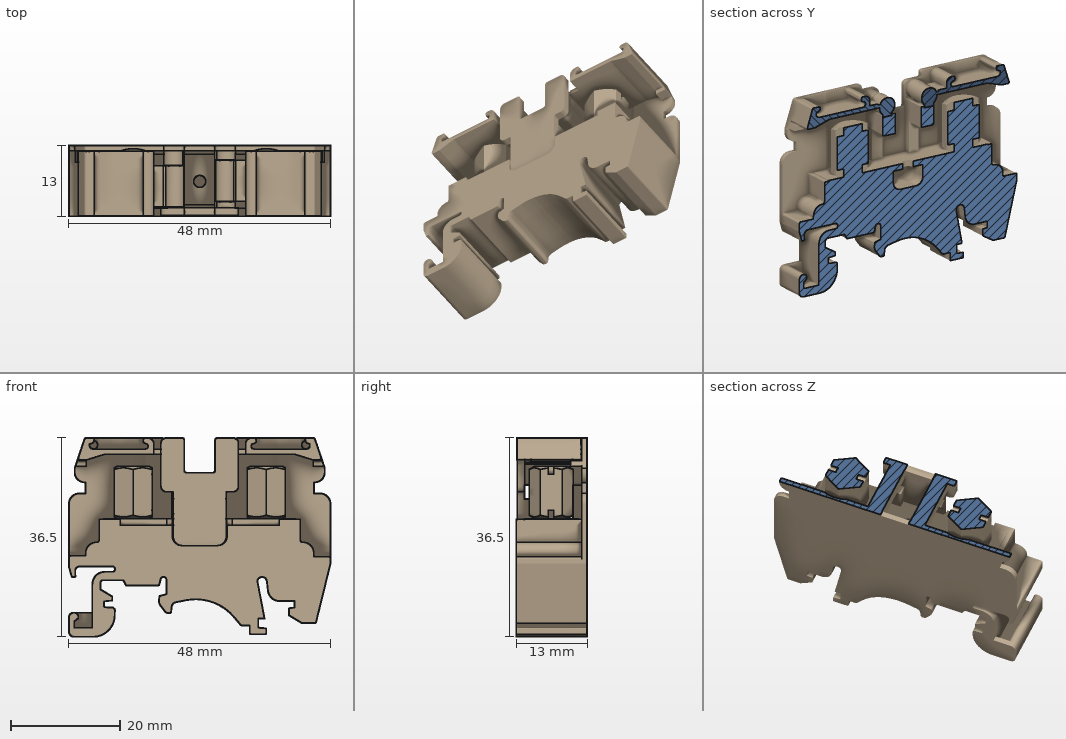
import cadquery as cq
import math

length = 48.0
depth = 13.0
height = 36.5
mid_x = length / 2

wall_front = 12.0
base_top = 21.55

bar_front, bar_back = 1.44, 11.4
bar_start = 6.45
bar_slot_start = 9.4
bar_bottom, bar_top = 20.5, 21.68
neck_start, neck_end = 18.0, 19.0
neck_depth = 0.66
hole_diameter = 2.2

hex_across_flats = 7.0
hex_x, hex_y = 11.8, 6.4
hex_top = 31.3
hex_face_radius = 2.95
hex_chamfer_slope = math.tan(math.radians(30))
hex_slot_width = 1.0
hex_slot_depth = 1.5
hex_core_diameter = 4.2

wall_slope_foot = (1.06, 30.9)
wall_slope_top = (2.95, height)

recess_half_width = 2.25
recess_depth = 0.4

plate_front, plate_back = 0.15, 1.55
plate_half_width, plate_neck_half_width = 7.1, 4.85
plate_bottom, plate_shoulder = 16.75, 26.6
plate_gap = 0.18
slot_half_width, slot_bottom = 2.8, 30.1

beam_start = 18.3
beam_bottom, beam_top = 27.8, 31.9
left_leg_start, right_leg_start = 18.85, 19.15
left_leg_front, right_leg_front = 10.8, 10.4
stub_top = 25.3
stub_back = 3.4
stub_foot = 22.6

pocket_half_width, pocket_radius = 3.2, 1.5

flap_front, flap_back = 0.1, 11.9
flap_middle = (flap_front + flap_back) / 2
flap_floor, flap_under = 34.44, 33.5
flap_inner_x = 15.6
barrel_front, barrel_back = 1.75, 9.25
barrel_x, barrel_z = 19.37, 33.5
barrel_diameter = 3.46
foot_half_width, foot_bottom = 1.0, 31.6
hinge_step_x, hinge_step = 17.36, 0.2
knuckle_shift = 0.2
hinge_gap = 0.1
groove_diameter = 1.5
groove_x = 4.55
groove_z = flap_floor + groove_diameter / 2
groove_blind_depth = 0.5

latch_end, latch_front = 3.2, 9.9
latch_bottom, latch_top = 31.3, 32.3

tray_floor, tray_top = 1.7, 4.45
tray_inner_x = 4.3


def mirrored(points):
    """The same corners on the other side of the middle plane, in reverse order."""
    return [(length - x, z, r) for x, z, r in reversed(points)]


def outline(points, y):
    """Closed XZ outline at the given y; each corner is (x, z, radius)."""
    count = len(points)
    sketch = cq.Workplane("XZ", origin=(0, y, 0))
    started = False
    for i, (x, z, radius) in enumerate(points):
        corner = cq.Vector(x, z)
        to_last = (cq.Vector(*points[i - 1][:2]) - corner).normalized()
        to_next = (cq.Vector(*points[(i + 1) % count][:2]) - corner).normalized()
        half_angle = to_last.getAngle(to_next) / 2
        setback = radius / math.tan(half_angle)
        first = corner + to_last * setback
        sketch = sketch.lineTo(first.x, first.y) if started else sketch.moveTo(first.x, first.y)
        started = True
        if radius:
            bisector = (to_last + to_next).normalized()
            middle = corner + bisector * (radius / math.sin(half_angle) - radius)
            last = corner + to_next * setback
            sketch = sketch.threePointArc((middle.x, middle.y), (last.x, last.y))
    return sketch.close()


def prism(points, y_from, y_to):
    return outline(points, y_from).extrude(y_from - y_to)


def block(x_from, x_to, y_from, y_to, z_from, z_to):
    size = (x_to - x_from, y_to - y_from, z_to - z_from)
    return cq.Workplane("XY").box(*size, centered=False).translate((x_from, y_from, z_from))


def rod(x, z, diameter, y_from, y_to):
    return cq.Workplane("XZ", origin=(x, y_from, z)).circle(diameter / 2).extrude(y_from - y_to)


def barrel(y_from, y_to):
    """Hinge barrel of the left flap, with the flat foot below it."""
    foot_x = (barrel_x - foot_half_width, barrel_x + foot_half_width)
    foot = block(*foot_x, y_from, y_to, foot_bottom, barrel_z)
    return rod(barrel_x, barrel_z, barrel_diameter, y_from, y_to).union(foot)


def base():
    """Lower part with the rail foot, over the full depth."""
    step_left = [
        (0, 14.85, 0.4), (3.1, 14.85, 0.2), (3.1, 17.35, 2.0), (5.55, 17.35, 0.4), (5.55, base_top, 0),
    ]
    step_right = [
        (42.45, base_top, 0), (42.45, 17.35, 0.4), (44.9, 17.35, 2.0), (44.9, 14.7, 0.2), (48, 14.7, 0.4),
    ]
    right_foot = [
        (48, 13.5, 0), (45.3, 2.53, 0.3), (42.7, 2.53, 0), (40.35, 3.94, 0), (40.35, 5.27, 0.2),
        (41.36, 5.4, 0), (41.36, 6.54, 0), (36.7, 6.54, 2.2), (36.2, 10.95, 0.8), (34.45, 10.95, 0.75),
        (35.9, 3.35, 0), (34.75, 3.35, 0), (34.75, 1.7, 0.2), (36.2, 1.6, 0.2),
        (36.2, 0.48, 0.2), (33.16, 0.48, 0.2), (33.16, 2.07, 0), (31.6, 2.07, 0.6),
    ]
    rail_arch = [
        (28.0, 6.3, 9.0), (23.0, 7.0, 9.0), (18.95, 6.2, 0.9), (18.75, 4.3, 0.3),
        (17.8, 4.4, 0.8), (16.45, 6.2, 1.5), (16.6, 7.5, 0.3), (17.87, 7.85, 0), (17.87, 10.95, 0.45),
        (16.95, 10.95, 0.4),
    ]
    left_foot = [
        (16.55, 9.4, 0.3), (10.5, 9.4, 0.2), (10.0, 10.37, 0.3), (5.85, 10.37, 0.4), (5.85, 8.7, 0),
        (8.0, 7.4, 0), (8.0, 6.65, 0), (6.5, 6.5, 0.1), (6.5, 5.45, 0.2), (8.5, 5.4, 0.6),
        (8.3, 0.0, 4.0), (0, 0, 1.0), (0, tray_top, 0.9), (tray_inner_x, tray_top, 0),
    ]
    left_lip = [
        (tray_inner_x, 11.95, 2.3), (8.45, 11.95, 0.45), (8.45, 12.9, 0.45), (1.15, 12.9, 0.8),
        (1.25, 10.95, 0.2), (0.55, 10.95, 0.2), (0, 12.9, 0),
    ]
    return prism(step_left + step_right + right_foot + rail_arch + left_foot + left_lip, 0, depth)


def tray_cut():
    """Trough behind the hooked lip of the left foot, closed by the back wall."""
    above_tray = tray_top + 0.5
    trough = [
        (1.05, tray_floor, 0), (1.05, 2.9, 0), (1.75, 3.4, 0.2), (1.75, tray_top, 0.8),
        (0.9, tray_top, 0), (0.9, above_tray, 0), (tray_inner_x, above_tray, 0),
        (tray_inner_x, tray_floor, 0),
    ]
    return prism(trough, 0, wall_front)


def wall_slope_x(z):
    """Position of the sloping left edge of the back wall at height z."""
    foot_x, foot_z = wall_slope_foot
    top_x, top_z = wall_slope_top
    return foot_x + (top_x - foot_x) * (z - foot_z) / (top_z - foot_z)


def back_wall():
    left_side = [
        (0, 13.5, 0), (0, 26.33, 2.0), (3.05, 26.33, 0), (3.05, 28.3, 0), (1.06, 28.3, 1.9),
        (*wall_slope_foot, 0), (*wall_slope_top, 0.5), (17.45, height, 0.5), (17.45, 35.2, 0.3),
        (mid_x - slot_half_width, 35.2, 0.9), (mid_x - slot_half_width, slot_bottom, 0.4),
    ]
    wall = prism(left_side + mirrored(left_side), wall_front, depth)
    scoop_radius = (recess_half_width**2 + recess_depth**2) / (2 * recess_depth)
    scoop_y = wall_front + recess_depth - scoop_radius
    for x in (hex_x, length - hex_x):
        scoop = cq.Workplane("XY", origin=(x, scoop_y, bar_bottom)).circle(scoop_radius).extrude(height)
        wall = wall.cut(scoop)
    for x in (groove_x, length - groove_x):
        wall = wall.cut(rod(x, groove_z, groove_diameter, wall_front, wall_front + groove_blind_depth))
    latch = [
        (wall_slope_x(latch_bottom), latch_bottom, 0), (wall_slope_x(latch_top), latch_top, 0),
        (latch_end, latch_top, 0), (latch_end, latch_bottom, 0),
    ]
    for corners in (latch, mirrored(latch)):
        wall = wall.union(prism(corners, latch_front, wall_front))
    return wall


def plate_cutter():
    """Seat in the front of the base for the middle plate, slightly larger than the plate."""
    half = plate_neck_half_width + plate_gap
    seat = [(mid_x - half, height, 0), (mid_x - half, plate_bottom, 1.8)]
    return prism(seat + mirrored(seat), 0, plate_back)


def middle_plate():
    left_side = [
        (mid_x - plate_neck_half_width, plate_bottom, 1.6),
        (mid_x - plate_neck_half_width, plate_shoulder, 0.2),
        (mid_x - plate_half_width, plate_shoulder, 1.0),
        (mid_x - plate_half_width, height, 1.0),
        (mid_x - slot_half_width, height, 0.5),
        (mid_x - slot_half_width, slot_bottom, 0.4),
    ]
    return prism(left_side + mirrored(left_side), plate_front, plate_back)


def middle_pocket():
    """Round-bottomed pocket under the busbar, from the plate to the back wall."""
    left_side = [
        (mid_x - pocket_half_width, base_top, 0), (mid_x - pocket_half_width, plate_bottom, pocket_radius),
    ]
    return prism(left_side + mirrored(left_side), plate_back, wall_front)


def busbar_notch():
    """Open notch in the front edge of the base, along the busbar and round its neck."""
    notch = block(bar_slot_start, length - bar_slot_start, 0, bar_front, bar_bottom, base_top)
    neck_back = bar_front + neck_depth
    return notch.union(block(neck_start, length - neck_start, 0, neck_back, bar_bottom, base_top))


def busbar():
    front_left = [
        (bar_start, bar_front), (neck_start, bar_front), (neck_end, bar_front + neck_depth),
    ]
    front_right = [(length - x, y) for x, y in reversed(front_left)]
    corners = front_left + front_right + [(length - bar_start, bar_back), (bar_start, bar_back)]
    bar = cq.Workplane("XY", origin=(0, 0, bar_bottom)).polyline(corners).close()
    bar = bar.extrude(bar_top - bar_bottom)
    hole = cq.Workplane("XY", origin=(mid_x, hex_y, bar_bottom)).circle(hole_diameter / 2)
    return bar.cut(hole.extrude(bar_top - bar_bottom))


def hexagon(x):
    """Hexagonal clamp on the busbar, chamfered and slotted at both ends."""
    tall = hex_top - bar_top
    corner_radius = hex_across_flats / math.sqrt(3)
    drop = (corner_radius - hex_face_radius) * hex_chamfer_slope
    body = cq.Workplane("XY").polygon(6, 2 * corner_radius).extrude(tall)
    body = body.rotate((0, 0, 0), (0, 0, 1), 30)
    rim = [
        (0, 0), (hex_face_radius, 0), (corner_radius, drop), (corner_radius, tall - drop),
        (hex_face_radius, tall), (0, tall),
    ]
    body = body.intersect(cq.Workplane("XZ").polyline(rim).close().revolve())
    half_slot = hex_slot_width / 2
    reach = hex_across_flats / 2
    for z in (0, tall - hex_slot_depth):
        body = body.cut(block(-reach, reach, -half_slot, half_slot, z, z + hex_slot_depth))
    core = cq.Workplane("XY").circle(hex_core_diameter / 2).extrude(tall)
    return body.union(core).translate((x, hex_y, bar_top))


def hinge_support(knuckle_spans, leg_start, leg_front):
    """Left cross beam with a cradle for the flap barrel, its back leg and the hinge knuckles."""
    inner_x = mid_x - slot_half_width
    profile = [
        (beam_start, beam_bottom, 0.5), (beam_start, beam_top, 0),
        (inner_x, beam_top, 0), (inner_x, beam_bottom, 0),
    ]
    support = prism(profile, plate_back, wall_front)
    support = support.cut(barrel(plate_back, wall_front))
    for y_from, y_to in knuckle_spans:
        support = support.union(rod(barrel_x - knuckle_shift, barrel_z, barrel_diameter, y_from, y_to))
    return support.union(block(leg_start, inner_x, leg_front, wall_front, bar_bottom, beam_top))


def beam_stub(leg_start, is_tapered):
    """Left stub rising behind the plate beside the busbar neck; tapered to the plate or straight."""
    foot_back = plate_back if is_tapered else stub_back
    foot_z = stub_foot if is_tapered else bar_bottom
    side = [(plate_back, foot_z), (foot_back, foot_z), (stub_back, stub_top), (plate_back, stub_top)]
    corners = list(dict.fromkeys(side))
    stub = cq.Workplane("YZ", origin=(leg_start, 0, 0)).polyline(corners).close()
    return stub.extrude(mid_x - slot_half_width - leg_start)


def on_right(body):
    return body.mirror("YZ", (mid_x, 0, 0))


def build_housing():
    body = base().cut(tray_cut()).cut(busbar_notch()).cut(middle_pocket()).cut(plate_cutter())
    body = body.union(back_wall()).union(middle_plate())
    left_knuckles = [(barrel_back + hinge_gap, wall_front)]
    right_barrel_front = 2 * flap_middle - barrel_back
    right_barrel_back = 2 * flap_middle - barrel_front
    right_knuckles = [
        (plate_back, right_barrel_front - hinge_gap), (right_barrel_back + hinge_gap, wall_front),
    ]
    body = body.union(hinge_support(left_knuckles, left_leg_start, left_leg_front))
    body = body.union(beam_stub(left_leg_start, True))
    body = body.union(on_right(hinge_support(right_knuckles, right_leg_start, right_leg_front)))
    body = body.union(on_right(beam_stub(right_leg_start, False)))
    body = body.union(busbar())
    for x in (hex_x, length - hex_x):
        body = body.union(hexagon(x))
    return body


def build_flap():
    """Left flap: a label tray with a lip at each end, hinged on a barrel at its inner end."""
    tray = [
        (1.65, 32.5, 0.25), (2.95, height, 0.5), (4.45, height, 0.2), (4.75, 36.1, 0.2), (4.4, 35.55, 0.1),
        (3.8, 35.35, 0.1), (3.8, flap_floor, 0.6), (14.55, flap_floor, 0.5), (14.55, 35.45, 0.5),
        (14.0, 35.45, 0.1), (13.6, 35.75, 0.25), (13.75, height, 0.4), (flap_inner_x, height, 1.2),
        (flap_inner_x, flap_under, 0), (6.65, flap_under, 0), (3.45, 32.5, 0),
    ]
    hinge = [
        (flap_inner_x, flap_under, 0), (flap_inner_x, flap_floor, 0), (hinge_step_x, flap_floor, 0),
        (hinge_step_x, flap_floor - hinge_step, 0), (barrel_x, flap_floor - hinge_step, 0),
        (barrel_x, flap_under, 0),
    ]
    flap = prism(tray, flap_front, flap_back).union(prism(hinge, barrel_front, barrel_back))
    return flap.union(barrel(barrel_front, barrel_back))


housing = build_housing()
left_flap = build_flap()
flaps = []
for turn in (0, 180):
    flaps.append(left_flap.rotate((mid_x, flap_middle, 0), (mid_x, flap_middle, 1), turn))

result = cq.Compound.makeCompound([housing.val(), *[flap.val() for flap in flaps]])